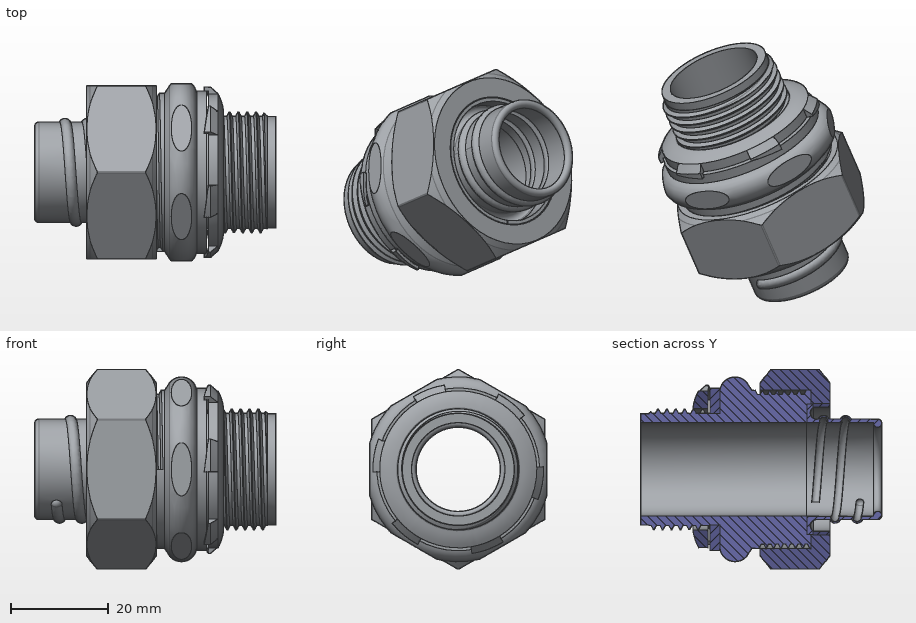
import cadquery as cq
import math


tube_radius = 10.33
wall = 0.75
tube_bore = tube_radius - wall
lip_radius = 0.86
bead_crest = 11.08
bead_radius = 1.2
bead_pitch = 4.55
bead_wall = 0.38
bead_turns = 2.0
bead_start_angle = 224
bead_start_x = 4.5
cup_bottom = 15.4
trough_radius = 1.25

nut_face = 10.6
nut_length = 14.4
nut_end = nut_face + nut_length
nut_flats = 35.56
nut_edge_fillet = 0.33
nut_face_radius = 17.65
nut_bevel_radius = 18.77
nut_bevel_length = 0.8
nut_corner_length = 2.25
nut_corner_radius = 20.48
nut_bore = 13.6
nut_mouth_chamfer = 0.15

ring_outer = 13.45
ring_inner = 12.7
slit_width = 0.2
slit_offset = -1.18

body_start = 14.6
nut_thread_radius = 16.24
nut_thread_root = 15.4
nut_thread_pitch = 1.5
nut_thread_turns = 7
nut_thread_end_x = 25.6
nut_thread_end_angle = 180
groove_mouth = 1.4
groove_floor = 0.5
collar_start = 26.65
collar_bead_x = 30.1
collar_bead_radius = 3.15
collar_radius = 18.96
collar_flats = 36.32
collar_flank_angle = 50
collar_end = collar_bead_x + collar_bead_radius
stem_radius = 11.53
land_radius = 11.45
land_start = 47.76
overall_length = 49.45

hub_crest = 12.4
hub_pitch = 1.818
hub_start_angle = 90
hub_start_x = 36.77
hub_turns = 6.6
hub_base = 1.3
hub_tip = 0.2
hub_runout_start = 46.82
root_overlap = 0.15

gasket_radius = 16.68
gasket_end = 35.25

lock_start = 35.6
lock_shoulder = 37.6
lock_end = 38.75
lock_radius = 16.1
lock_bore = hub_crest + 0.05
lock_face_radius = 12.6
dome_mid_x = 38.35
dome_mid_radius = 14.4
lug_count = 6
lug_arc = 22.5
lug_first_angle = 50.5
lug_peak = 17.5
lug_peak_end = 36.05
lug_tip_x = 34.75
lug_clearance = 0.05

trough_floor = cup_bottom - wall
trough_x = trough_floor - trough_radius
trough_mid = tube_radius + trough_radius
cup_rim = trough_x + trough_radius * math.sqrt(2) - (ring_inner - trough_mid)


def turned(profile):
    """Revolve a closed profile drawn as X against radius around the X axis."""
    return profile.close().revolve(360, (0, 0, 0), (1, 0, 0))


def tube(start, end, outer, inner):
    return cq.Workplane("YZ").workplane(offset=start).circle(outer).circle(inner).extrude(end - start)


def hex_prism(flats, start, length):
    """Hexagonal prism along X with flats facing +Y and -Y."""
    prism = cq.Workplane("YZ").workplane(offset=start).polygon(6, flats / math.cos(math.pi / 6))
    return prism.extrude(length).rotate((0, 0, 0), (1, 0, 0), 30)


def along_x(shape, start_x, start_angle):
    """Move a helical shape built on the Z axis onto X; angles run from +Y towards +Z."""
    laid = shape.rotate((0, 0, 0), (0, 1, 0), 90).rotate((0, 0, 0), (1, 0, 0), start_angle + 90)
    return laid.translate((start_x, 0, 0))


def helical_sweep(section, radius, pitch, turns):
    """Sweep a section, drawn as radius against axial position, along a right-hand helix on Z."""
    helix = cq.Workplane(obj=cq.Wire.makeHelix(pitch, pitch * turns, radius))
    return section.sweep(helix, isFrenet=True)


def trapezoid(inner_radius, inner_width, outer_radius, outer_width):
    return cq.Workplane("XZ").polyline([
        (inner_radius, -inner_width / 2),
        (outer_radius, -outer_width / 2),
        (outer_radius, outer_width / 2),
        (inner_radius, inner_width / 2),
    ]).close()


def helical_rod(rod_radius, turns):
    """Round rod along the bead path with a ball at its start."""
    path_radius = bead_crest - bead_radius
    section = cq.Workplane("XZ").center(path_radius, 0).circle(rod_radius)
    rod = helical_sweep(section, path_radius, bead_pitch, turns)
    ball = cq.Workplane("XY").sphere(rod_radius)
    return along_x(rod.union(ball.translate((path_radius, 0, 0))), bead_start_x, bead_start_angle)


def make_ferrule():
    lip_crest = tube_radius - lip_radius
    flare_step = trough_radius * math.sqrt(0.5)
    shell = turned(
        cq.Workplane("XY")
        .moveTo(lip_radius, tube_radius)
        .lineTo(trough_x, tube_radius)
        .threePointArc((trough_floor, trough_mid), (trough_x + flare_step, trough_mid + flare_step))
        .lineTo(cup_rim, ring_inner)
        .lineTo(cup_rim, ring_outer)
        .lineTo(cup_bottom, ring_outer)
        .lineTo(cup_bottom, tube_bore)
        .lineTo(2 * lip_radius, tube_bore)
        .lineTo(2 * lip_radius, lip_crest)
        .threePointArc((lip_radius, lip_crest - lip_radius), (0, lip_crest))
        .threePointArc(
            (lip_radius - lip_radius * math.sqrt(0.5), lip_crest + lip_radius * math.sqrt(0.5)),
            (lip_radius, tube_radius),
        )
    )
    bead = helical_rod(bead_radius, bead_turns)
    bead = bead.cut(tube(0, cup_bottom, tube_bore + bead_wall, 0))
    inner_groove = helical_rod(bead_radius - bead_wall, bead_turns)
    return shell.union(bead).cut(inner_groove)


def make_nut():
    bevel_end = nut_end - nut_bevel_length
    envelope = turned(
        cq.Workplane("XY")
        .moveTo(nut_face, 0)
        .lineTo(nut_face, nut_face_radius)
        .lineTo(nut_face + nut_bevel_length, nut_bevel_radius)
        .lineTo(nut_face + nut_corner_length, nut_corner_radius)
        .lineTo(nut_end - nut_corner_length, nut_corner_radius)
        .lineTo(bevel_end, nut_bevel_radius)
        .lineTo(nut_end, nut_face_radius)
        .lineTo(nut_end, 0)
    )
    nut = hex_prism(nut_flats, nut_face, nut_length).edges("|X").fillet(nut_edge_fillet).intersect(envelope)
    nut = nut.cut(tube(nut_face, nut_end, ring_outer, 0))
    mouth = cq.Workplane("YZ").workplane(offset=nut_face).circle(nut_bore)
    mouth = mouth.workplane(offset=nut_mouth_chamfer).circle(ring_outer).loft()
    return nut.cut(mouth).cut(tube(body_start, nut_end, nut_thread_radius, 0))


def make_clamping_ring():
    ring = tube(nut_face, cup_rim, ring_outer, ring_inner)
    slit = cq.Workplane("XY").box(2 * overall_length, slit_width, ring_outer)
    return ring.cut(slit.translate((0, slit_offset, -ring_outer)))


def make_body():
    bead_middle = collar_radius - collar_bead_radius
    flank = math.radians(collar_flank_angle)
    tangent_x = collar_bead_x - collar_bead_radius * math.sin(flank)
    tangent_radius = bead_middle + collar_bead_radius * math.cos(flank)
    blank = turned(
        cq.Workplane("XY")
        .moveTo(body_start, tube_bore)
        .lineTo(body_start, nut_thread_radius)
        .lineTo(collar_start, nut_thread_radius)
        .lineTo(tangent_x, tangent_radius)
        .threePointArc((collar_bead_x, collar_radius), (collar_end, bead_middle))
        .lineTo(collar_end, stem_radius)
        .lineTo(land_start, stem_radius)
        .lineTo(land_start, land_radius)
        .lineTo(overall_length, land_radius)
        .lineTo(overall_length, tube_bore)
    )
    body = blank.intersect(hex_prism(collar_flats, 0, overall_length))
    body = body.cut(tube(body_start, cup_bottom, ring_outer, 0))
    return body.cut(make_nut_thread_groove()).union(make_hub_thread())


def make_nut_thread_groove():
    clear_radius = 2 * nut_thread_radius - nut_thread_root
    clear_width = 2 * groove_mouth - groove_floor
    section = trapezoid(nut_thread_root, groove_floor, clear_radius, clear_width)
    groove = helical_sweep(section, nut_thread_root, nut_thread_pitch, nut_thread_turns)
    start_x = nut_thread_end_x - nut_thread_turns * nut_thread_pitch
    return along_x(groove, start_x, nut_thread_end_angle - 360 * nut_thread_turns)


def make_hub_thread():
    section = trapezoid(stem_radius - root_overlap, hub_base, hub_crest, hub_tip)
    ridge = helical_sweep(section, stem_radius, hub_pitch, hub_turns)
    ridge = along_x(ridge, hub_start_x, hub_start_angle)
    thread_height = hub_crest - stem_radius
    runout = turned(
        cq.Workplane("XY")
        .moveTo(gasket_end, 0)
        .lineTo(gasket_end, hub_crest + thread_height)
        .lineTo(hub_runout_start - thread_height, hub_crest + thread_height)
        .lineTo(hub_runout_start + thread_height, stem_radius)
        .lineTo(hub_runout_start + thread_height, 0)
    )
    return ridge.intersect(runout)


def make_gasket():
    return tube(collar_end, gasket_end, gasket_radius, stem_radius)


def make_lug():
    """One locknut tooth; its tip slants back across its arc."""
    seat_radius = lock_radius - lug_clearance
    under_radius = gasket_radius + lug_clearance
    tooth = (
        cq.Workplane("XY")
        .moveTo(lock_start, seat_radius)
        .lineTo(lock_start, under_radius)
        .lineTo(lug_tip_x, under_radius)
        .lineTo(lug_tip_x, lug_peak)
        .lineTo(lug_peak_end, lug_peak)
        .lineTo(lock_shoulder, lock_radius)
        .lineTo(lock_shoulder, seat_radius)
        .close()
        .revolve(lug_arc, (0, 0, 0), (1, 0, 0))
        .rotate((0, 0, 0), (1, 0, 0), -lug_arc / 2)
    )
    half_width = lug_peak * math.sin(math.radians(lug_arc / 2))
    slant = (
        cq.Workplane("XZ")
        .polyline([(lug_tip_x, half_width), (lug_tip_x, -half_width), (lock_start, -half_width)])
        .close()
        .extrude(-lug_peak)
    )
    return tooth.cut(slant)


def make_locknut():
    locknut = turned(
        cq.Workplane("XY")
        .moveTo(lock_start, lock_bore)
        .lineTo(lock_start, lock_radius)
        .lineTo(lock_shoulder, lock_radius)
        .threePointArc((dome_mid_x, dome_mid_radius), (lock_end, lock_face_radius))
        .lineTo(lock_end, lock_bore)
    )
    lug = make_lug()
    for index in range(lug_count):
        angle = lug_first_angle + index * 360 / lug_count
        locknut = locknut.union(lug.rotate((0, 0, 0), (1, 0, 0), angle))
    return locknut


ferrule = make_ferrule()
nut = make_nut()
clamping_ring = make_clamping_ring()
body = make_body()
gasket = make_gasket()
locknut = make_locknut()

result = cq.Compound.makeCompound([
    ferrule.val(),
    nut.val(),
    clamping_ring.val(),
    body.val(),
    gasket.val(),
    locknut.val(),
])